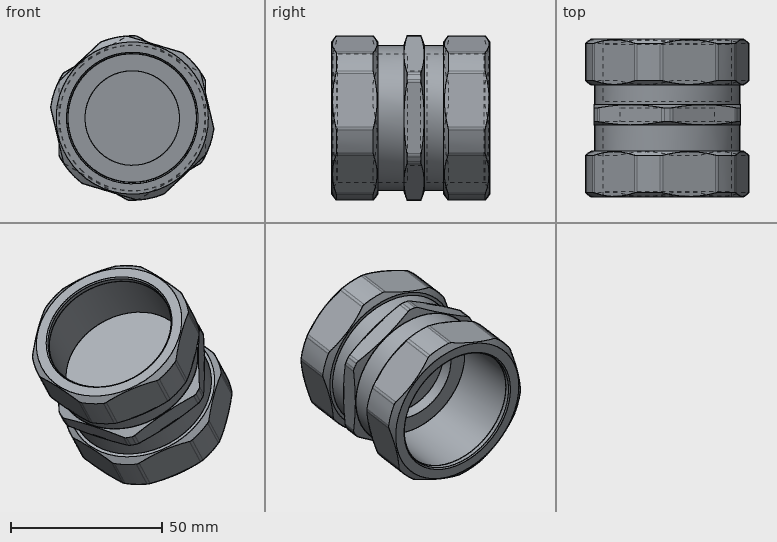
import cadquery as cq
import math

length = 52.3
half_length = length / 2
body_diameter = 48.1

nut_length = 15.25
nut_radius = 27.25
nut_apothem = 25.5
nut_flat_angle = 13.3
nut_chamfer_length = 1.5
nut_chamfer_depth = 2.05
nut_edge_fillet = 2.7

ring_start = -2.3
ring_length = 6.75
ring_radius = 27.25
ring_apothem = 24.3
ring_flat_angle = 0.0
ring_chamfer_length = 1.1
ring_chamfer_depth = 3.1
ring_edge_fillet = 2.2

mouth_diameter = 43.55
lip_diameter = 42.6
lip_chamfer_length = 0.45
lip_length = 1.9
bore_diameter = 42.5
front_bore_depth = 25.05
back_bore_depth = 20.7
recess_diameter = 31.3
recess_depth = 4.35


def cylinder(diameter, start_y, end_y):
    """Solid cylinder on the Y axis between two Y positions."""
    start_plane = cq.Workplane("XZ", origin=(0, start_y, 0))
    return start_plane.circle(diameter / 2).extrude(start_y - end_y)


def rounded_hexagon(start_y, size, radius, apothem, flat_angle, edge_fillet, chamfer_length, chamfer_depth):
    """Hexagonal prism with round corners, turned chamfers and softened flat edges."""
    end_y = start_y + size
    prism = (
        cq.Workplane("XZ", origin=(0, start_y, 0))
        .polygon(6, 2 * apothem / math.cos(math.radians(30)))
        .extrude(-size)
        .rotate((0, 0, 0), (0, 1, 0), 30 - flat_angle)
    )
    prism = prism.intersect(cylinder(2 * radius, start_y, end_y)).edges("|Y").fillet(edge_fillet)
    turned_envelope = (
        cq.Workplane("XY")
        .moveTo(0, start_y)
        .lineTo(radius - chamfer_depth, start_y)
        .lineTo(radius, start_y + chamfer_length)
        .lineTo(radius, end_y - chamfer_length)
        .lineTo(radius - chamfer_depth, end_y)
        .lineTo(0, end_y)
        .close()
        .revolve(360, (0, 0, 0), (0, 1, 0))
    )
    return prism.intersect(turned_envelope)


def nut(start_y):
    return rounded_hexagon(
        start_y, nut_length, nut_radius, nut_apothem, nut_flat_angle,
        nut_edge_fillet, nut_chamfer_length, nut_chamfer_depth,
    )


def socket(bore_depth):
    """Stepped round cavity entering from the -Y end."""
    lip_end = -half_length + lip_length
    shoulder = -half_length + bore_depth
    return (
        cq.Workplane("XY")
        .moveTo(0, -half_length)
        .lineTo(mouth_diameter / 2, -half_length)
        .lineTo(lip_diameter / 2, -half_length + lip_chamfer_length)
        .lineTo(lip_diameter / 2, lip_end)
        .lineTo(bore_diameter / 2, lip_end)
        .lineTo(bore_diameter / 2, shoulder)
        .lineTo(0, shoulder)
        .close()
        .revolve(360, (0, 0, 0), (0, 1, 0))
    )


body = cylinder(body_diameter, -half_length, half_length)
grip_ring = rounded_hexagon(
    ring_start, ring_length, ring_radius, ring_apothem, ring_flat_angle,
    ring_edge_fillet, ring_chamfer_length, ring_chamfer_depth,
)
coupling = body.union(grip_ring)
for nut_start in (-half_length, half_length - nut_length):
    coupling = coupling.union(nut(nut_start))

front_shoulder = -half_length + front_bore_depth
recess = cylinder(recess_diameter, front_shoulder, front_shoulder + recess_depth)
front_socket = socket(front_bore_depth).union(recess)
back_socket = socket(back_bore_depth).mirror("XZ")
result = coupling.cut(front_socket).cut(back_socket)